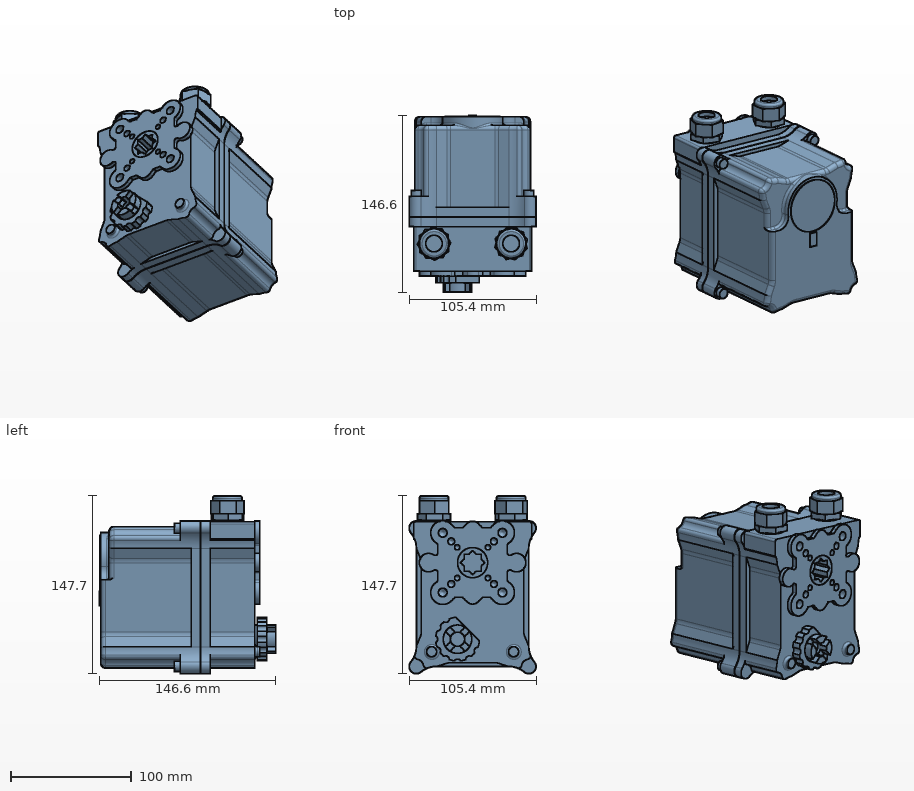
import cadquery as cq
import math


TOLERANCE = 1e-3

KNOB_TIP_Y = -13.3
KNOB_RIM_FRONT_Y = -5.7
MOUNT_FACE_Y = 0.0
KNOB_RIM_BACK_Y = 2.4
BASE_FRONT_Y = 4.1
FLANGE_FRONT_Y = 41.1
PARTING_Y = 49.1
BAND_BACK_Y = 57.1
FLANGE_BACK_Y = 66.1
SCREW_HEAD_BACK_Y = 71.0
SHOULDER_Y = 125.3
LID_BACK_Y = 132.2
WINDOW_BACK_Y = 132.7
POINTER_BACK_Y = 133.3

LUG_X = 46.7
LUG_HALF_Z = 57.4
HOUSING_Z = -28.8
LUG_RADIUS = 6.0
SWEEP_RADIUS = 20.0
GROOVE_LIP_RADIUS = 3.0
SCREW_HEAD_RADIUS = 4.2
SWEEP_LENGTH = math.sqrt((SWEEP_RADIUS + LUG_RADIUS) ** 2 - SWEEP_RADIUS ** 2)

SIDE_RECESS_DEPTH = 4.2
END_RECESS_DEPTH = 3.2
RECESS_SLOPE_LENGTH = 10.2
RECESS_CORNER_RADIUS = 10.0
PARTING_GROOVE_WIDTH = 0.4
PARTING_GROOVE_DEPTH = 0.1
LID_EDGE_RADIUS = 4.0

BASE_TOP_Z = 34.05
BASE_TOP_HALF_X = 49.0
BASE_TOP_LOW_Z = 19.8
BASE_TOP_CHAMFER = 1.1
BASE_TOP_RADIUS = 2.0

DOME_RADIUS = 25.1
DOME_BLEND_RADIUS = 10.0
DOME_FOOT_RADIUS = 2.0
STEP_Z = -14.4
WINDOW_RADIUS = 22.6
POINTER_WIDTH = 6.4
POINTER_LENGTH = 12.0
POINTER_Z = -29.8

PAD_HOLES = ((70.0, 7.2, 14.0), (50.0, 5.6, 12.0), (36.0, 4.4, 10.0))
DRILL_TIP_ANGLE = 118.0
PAD_LOBE = PAD_HOLES[0][0] / 2 * math.sqrt(0.5)
PAD_LOBE_RADIUS = 10.0
PAD_HALF = 28.75
PAD_MID_LOBE_Z = 27.9
PAD_MID_LOBE_RADIUS = 6.5
PAD_SIDE_LOBE_X = 36.5
PAD_SIDE_LOBE_RADIUS = 7.7
PAD_FILLET = 2.25
DRIVE_RADIUS = 12.5
DRIVE_RECESS = 0.2
STAR_SQUARE = 14.2
STAR_DEPTH = 30.0

KNOB_X = -12.5
KNOB_Z = -63.5
KNOB_RIM_RADIUS = 18.2
KNOB_HUB_RADIUS = 11.8
KNOB_BORE_RADIUS = 5.9
KNOB_SLOT_WIDTH = 5.3
KNOB_SLOT_FLOOR_Y = -6.1
KNOB_BORE_FLOOR_Y = -2.7
SCALLOP_PITCH = 30
SCALLOP_FIRST_ANGLE = 120
SCALLOP_LAST_ANGLE = 330
SCALLOP_RADIUS = 3.0
SCALLOP_DEPTH = 1.7
STUD_X = 34.0
STUD_Z = -73.9
STUD_RADIUS = 4.2
STUD_FILLET = 2.0

GLAND_X = 32.0
GLAND_Y = 27.0
GLAND_NECK_RADIUS = 10.2
GLAND_NUT_Z = 35.3
GLAND_CAP_Z = 40.4
GLAND_COLLAR_Z = 51.5
GLAND_TOP_Z = 55.48
GLAND_HEX_FLATS = 24.0
GLAND_COLLAR_RADIUS = 12.2
GLAND_COLLAR_FILLET = 2.1
GLAND_BORE_RADIUS = 6.9
GLAND_BORE_DEPTH = 3.7
GLANDS = ((-GLAND_X, 2.4, 32.4), (GLAND_X, 42.9, 13.3))


def section(y):
    """Work plane across the part at station y; extruding runs toward -Y."""
    return cq.Workplane("XZ", origin=(0, y, 0))


def disc(x, z, radius, y_front, y_back):
    return section(y_back).center(x, z).circle(radius).extrude(y_back - y_front)


def toward(start, end, distance):
    """Point at a distance from start on the line to end."""
    ratio = distance / math.dist(start, end)
    return (start[0] + (end[0] - start[0]) * ratio, start[1] + (end[1] - start[1]) * ratio)


def arc_through(wire, center, radius, end):
    """Continue the wire along the shorter arc about center to end."""
    start = wire._findFromPoint(useLocalCoords=True).toTuple()
    chord_middle = ((start[0] + end[0]) / 2, (start[1] + end[1]) / 2)
    return wire.threePointArc(toward(center, chord_middle, radius), end)


def circle_meeting(first, first_radius, second, second_radius):
    """Crossing of two circles that lies to the left of the line from first to second."""
    gap = math.dist(first, second)
    along = (gap ** 2 + first_radius ** 2 - second_radius ** 2) / (2 * gap)
    across = math.sqrt(first_radius ** 2 - along ** 2)
    direction = ((second[0] - first[0]) / gap, (second[1] - first[1]) / gap)
    return (first[0] + along * direction[0] - across * direction[1],
            first[1] + along * direction[1] + across * direction[0])



def housing_prism(y_front, y_back, with_lugs):
    """Housing outline, with round lugs at the corners or with grooves in their place."""
    lug = (LUG_X, LUG_HALF_Z)
    side_flat_end = (LUG_X, LUG_HALF_Z - SWEEP_LENGTH)
    top_flat_end = (LUG_X - SWEEP_LENGTH, LUG_HALF_Z)
    side_sweep = (LUG_X + SWEEP_RADIUS, side_flat_end[1])
    top_sweep = (top_flat_end[0], LUG_HALF_Z + SWEEP_RADIUS)

    wire = section(y_back).center(0, HOUSING_Z).moveTo(0, 0).lineTo(LUG_X, 0).lineTo(*side_flat_end)
    if with_lugs:
        outer = (LUG_X + LUG_RADIUS * math.sqrt(0.5), LUG_HALF_Z + LUG_RADIUS * math.sqrt(0.5))
        wire = arc_through(wire, side_sweep, SWEEP_RADIUS, toward(lug, side_sweep, LUG_RADIUS))
        wire = wire.threePointArc(outer, toward(lug, top_sweep, LUG_RADIUS))
    else:
        side_lip = circle_meeting(side_sweep, SWEEP_RADIUS + GROOVE_LIP_RADIUS,
                                  lug, LUG_RADIUS + GROOVE_LIP_RADIUS)
        offset = (LUG_X - side_lip[0], LUG_HALF_Z - side_lip[1])
        top_lip = (LUG_X - offset[1], LUG_HALF_Z - offset[0])
        wire = arc_through(wire, side_sweep, SWEEP_RADIUS, toward(side_sweep, side_lip, SWEEP_RADIUS))
        wire = arc_through(wire, side_lip, GROOVE_LIP_RADIUS, toward(lug, side_lip, LUG_RADIUS))
        wire = arc_through(wire, lug, LUG_RADIUS, toward(lug, top_lip, LUG_RADIUS))
        wire = arc_through(wire, top_lip, GROOVE_LIP_RADIUS, toward(top_sweep, top_lip, SWEEP_RADIUS))
    wire = arc_through(wire, top_sweep, SWEEP_RADIUS, top_flat_end)
    quadrant = wire.lineTo(0, LUG_HALF_Z).close().extrude(y_back - y_front)
    half = quadrant.union(quadrant.mirror("YZ"))
    return half.union(half.mirror("XY", (0, 0, HOUSING_Z)))


def recess(wall, half_length, depth, turn, y_front, y_back):
    """Shallow trapezoid cutter in the wall at distance wall from the housing axis."""
    inner_half = half_length - RECESS_SLOPE_LENGTH
    floor = wall - depth
    cutter = (
        section(y_back)
        .polyline([(wall, half_length), (floor, inner_half), (floor, -inner_half), (wall, -half_length)])
        .close()
        .extrude(y_back - y_front)
        .edges("|Y").edges("<X")
        .fillet(RECESS_CORNER_RADIUS)
    )
    return cutter.rotate((0, 0, 0), (0, 1, 0), turn).translate((0, 0, HOUSING_Z))


def cut_recesses(body, y_front, y_back):
    for turn in (0, 180):
        body = body.cut(recess(LUG_X, LUG_HALF_Z - SWEEP_LENGTH, SIDE_RECESS_DEPTH, turn, y_front, y_back))
    for turn in (90, 270):
        body = body.cut(recess(LUG_HALF_Z, LUG_X - SWEEP_LENGTH, END_RECESS_DEPTH, turn, y_front, y_back))
    return body


def recessed_prism(y_front, y_back):
    return cut_recesses(housing_prism(y_front, y_back, with_lugs=False), y_front, y_back)


def make_flange():
    """Band with corner lugs, parted by a fine groove, and the screw heads behind it."""
    front_half = housing_prism(FLANGE_FRONT_Y, PARTING_Y - PARTING_GROOVE_WIDTH / 2, with_lugs=True)
    back_half = housing_prism(PARTING_Y + PARTING_GROOVE_WIDTH / 2, BAND_BACK_Y, with_lugs=True)
    groove_floor = (
        front_half.faces(">Y").wires().toPending()
        .offset2D(-PARTING_GROOVE_DEPTH)
        .extrude(-PARTING_GROOVE_WIDTH, combine=False)
    )
    lug_ends = housing_prism(BAND_BACK_Y, FLANGE_BACK_Y, with_lugs=True)
    lug_ends = cut_recesses(lug_ends, BAND_BACK_Y, FLANGE_BACK_Y)
    flange = front_half.union(groove_floor).union(back_half).union(lug_ends)
    for x in (-LUG_X, LUG_X):
        for z in (HOUSING_Z - LUG_HALF_Z, HOUSING_Z + LUG_HALF_Z):
            flange = flange.union(disc(x, z, SCREW_HEAD_RADIUS, FLANGE_BACK_Y, SCREW_HEAD_BACK_Y))
    return flange


def make_base():
    low_z = BASE_TOP_LOW_Z - BASE_TOP_CHAMFER
    low_x = BASE_TOP_HALF_X - BASE_TOP_CHAMFER
    top = (
        section(FLANGE_FRONT_Y)
        .polyline([
            (-low_x, low_z), (low_x, low_z), (BASE_TOP_HALF_X, BASE_TOP_LOW_Z),
            (BASE_TOP_HALF_X, BASE_TOP_Z), (-BASE_TOP_HALF_X, BASE_TOP_Z), (-BASE_TOP_HALF_X, BASE_TOP_LOW_Z),
        ])
        .close()
        .extrude(FLANGE_FRONT_Y - BASE_FRONT_Y)
        .edges("|Y").edges(">Z")
        .fillet(BASE_TOP_RADIUS)
    )
    return recessed_prism(BASE_FRONT_Y, FLANGE_FRONT_Y).union(top)


def make_dome():
    """Round dome about the drive axis, blended into the step across the lid."""
    blend_x = math.sqrt((DOME_RADIUS + DOME_BLEND_RADIUS) ** 2 - (STEP_Z + DOME_BLEND_RADIUS) ** 2)
    right_blend = (blend_x, STEP_Z + DOME_BLEND_RADIUS)
    left_blend = (-blend_x, STEP_Z + DOME_BLEND_RADIUS)
    wire = section(LID_BACK_Y).moveTo(blend_x, STEP_Z)
    wire = arc_through(wire, right_blend, DOME_BLEND_RADIUS, toward((0, 0), right_blend, DOME_RADIUS))
    wire = wire.threePointArc((0, DOME_RADIUS), toward((0, 0), left_blend, DOME_RADIUS))
    wire = arc_through(wire, left_blend, DOME_BLEND_RADIUS, (-blend_x, STEP_Z))
    wire = wire.lineTo(-blend_x, HOUSING_Z).lineTo(blend_x, HOUSING_Z).close()
    return wire.extrude(LID_BACK_Y - SHOULDER_Y + LID_EDGE_RADIUS)


def is_dome_foot(edge):
    """True for the dome's own arcs on the shoulder; the rest of the foot runs on tangent from them."""
    if edge.geomType() != "CIRCLE":
        return False
    on_shoulder = math.isclose(edge.Center().y, SHOULDER_Y, abs_tol=TOLERANCE)
    return on_shoulder and math.isclose(edge.radius(), DOME_RADIUS, abs_tol=TOLERANCE)


def make_lid():
    shoulder = recessed_prism(BAND_BACK_Y, SHOULDER_Y).faces(">Y").edges().fillet(LID_EDGE_RADIUS)
    full = recessed_prism(BAND_BACK_Y, LID_BACK_Y).faces(">Y").edges().fillet(LID_EDGE_RADIUS)
    below_step = (
        section(LID_BACK_Y)
        .center(0, STEP_Z - LUG_HALF_Z)
        .rect(4 * LUG_X, 2 * LUG_HALF_Z)
        .extrude(LID_BACK_Y - BAND_BACK_Y)
    )
    lid = shoulder.union(full.intersect(below_step)).union(make_dome())
    lid = lid.edges().filter(is_dome_foot).fillet(DOME_FOOT_RADIUS)
    lid = lid.union(disc(0, 0, WINDOW_RADIUS, LID_BACK_Y, WINDOW_BACK_Y))
    pointer = (
        section(POINTER_BACK_Y)
        .center(0, POINTER_Z)
        .rect(POINTER_WIDTH, POINTER_LENGTH)
        .extrude(POINTER_BACK_Y - LID_BACK_Y)
    )
    return lid.union(pointer)



def make_pad():
    lobe = (PAD_LOBE, PAD_LOBE)
    diagonal = math.sqrt(0.5)
    mid_top = PAD_MID_LOBE_Z + PAD_MID_LOBE_RADIUS
    mid_end = (PAD_MID_LOBE_RADIUS * diagonal, PAD_MID_LOBE_Z + PAD_MID_LOBE_RADIUS * diagonal)
    lobe_start = (PAD_LOBE - PAD_LOBE_RADIUS * diagonal, PAD_LOBE + PAD_LOBE_RADIUS * diagonal)
    side_lobe = (PAD_SIDE_LOBE_X, 0)
    fillet_x = PAD_HALF + PAD_FILLET
    upper_reach = math.sqrt((PAD_LOBE_RADIUS + PAD_FILLET) ** 2 - (fillet_x - PAD_LOBE) ** 2)
    upper_fillet = (fillet_x, PAD_LOBE - upper_reach)
    lower_reach = math.sqrt((PAD_SIDE_LOBE_RADIUS + PAD_FILLET) ** 2 - (fillet_x - PAD_SIDE_LOBE_X) ** 2)
    lower_fillet = (fillet_x, lower_reach)
    side_start = toward(side_lobe, lower_fillet, PAD_SIDE_LOBE_RADIUS)

    wire = section(BASE_FRONT_Y).moveTo(0, mid_top)
    wire = arc_through(wire, (0, PAD_MID_LOBE_Z), PAD_MID_LOBE_RADIUS, mid_end)
    wire = wire.lineTo(mid_end[0] + mid_end[1] - PAD_HALF, PAD_HALF)
    wire = wire.lineTo(lobe_start[0] - lobe_start[1] + PAD_HALF, PAD_HALF)
    wire = wire.lineTo(*lobe_start)
    wire = wire.threePointArc((PAD_LOBE + PAD_LOBE_RADIUS * diagonal, PAD_LOBE + PAD_LOBE_RADIUS * diagonal),
                              toward(lobe, upper_fillet, PAD_LOBE_RADIUS))
    wire = arc_through(wire, upper_fillet, PAD_FILLET, (PAD_HALF, upper_fillet[1]))
    wire = wire.lineTo(PAD_HALF, lower_fillet[1])
    wire = wire.threePointArc((fillet_x - PAD_FILLET * diagonal, lower_reach - PAD_FILLET * diagonal),
                              side_start)
    pad = wire.lineTo(*side_lobe).mirrorX().mirrorY().extrude(BASE_FRONT_Y - MOUNT_FACE_Y)
    for x in (-PAD_SIDE_LOBE_X, PAD_SIDE_LOBE_X):
        pad = pad.union(disc(x, 0, PAD_SIDE_LOBE_RADIUS, MOUNT_FACE_Y, BASE_FRONT_Y))
    return pad


def drilled_hole(x, z, diameter, depth):
    """Blind hole from the mounting face, with a drill point."""
    radius = diameter / 2
    tip = radius / math.tan(math.radians(DRILL_TIP_ANGLE / 2))
    profile = cq.Workplane("XY").polyline([(0, 0), (radius, 0), (radius, depth), (0, depth + tip)]).close()
    return profile.revolve(360, (0, 0, 0), (0, 1, 0)).translate((x, MOUNT_FACE_Y, z))


def cut_pad_features(body):
    for pitch, diameter, depth in PAD_HOLES:
        offset = pitch / 2 * math.sqrt(0.5)
        for x in (-offset, offset):
            for z in (-offset, offset):
                body = body.cut(drilled_hole(x, z, diameter, depth))
    body = body.cut(disc(0, 0, DRIVE_RADIUS, MOUNT_FACE_Y, MOUNT_FACE_Y + DRIVE_RECESS))
    square = section(STAR_DEPTH).rect(STAR_SQUARE, STAR_SQUARE).extrude(STAR_DEPTH - MOUNT_FACE_Y)
    return body.cut(square).cut(square.rotate((0, 0, 0), (0, 1, 0), 45))



def make_knob():
    """Scalloped rim with one flat, on a hub whose tip has a bore and crossed slots."""
    rim = disc(0, 0, KNOB_RIM_RADIUS, KNOB_RIM_FRONT_Y, KNOB_RIM_BACK_Y)
    scallop_center = KNOB_RIM_RADIUS - SCALLOP_DEPTH + SCALLOP_RADIUS
    for degrees in range(SCALLOP_FIRST_ANGLE, SCALLOP_LAST_ANGLE + 1, SCALLOP_PITCH):
        angle = math.radians(degrees)
        x = scallop_center * math.cos(angle)
        z = scallop_center * math.sin(angle)
        rim = rim.cut(disc(x, z, SCALLOP_RADIUS, KNOB_RIM_FRONT_Y, KNOB_RIM_BACK_Y))
    flat = (
        section(KNOB_RIM_BACK_Y)
        .center(KNOB_HUB_RADIUS + KNOB_RIM_RADIUS, 0)
        .rect(2 * KNOB_RIM_RADIUS, 2 * KNOB_RIM_RADIUS)
        .extrude(KNOB_RIM_BACK_Y - KNOB_RIM_FRONT_Y)
        .rotate((0, 0, 0), (0, 1, 0), -45)
    )
    rim = rim.cut(flat)
    tip = disc(0, 0, KNOB_HUB_RADIUS, KNOB_TIP_Y, KNOB_RIM_FRONT_Y)
    slot = (
        section(KNOB_SLOT_FLOOR_Y)
        .rect(KNOB_SLOT_WIDTH, 2 * KNOB_RIM_RADIUS)
        .extrude(KNOB_SLOT_FLOOR_Y - KNOB_TIP_Y)
    )
    for turn in (45, 135):
        tip = tip.cut(slot.rotate((0, 0, 0), (0, 1, 0), turn))
    stem = disc(0, 0, KNOB_HUB_RADIUS, KNOB_RIM_BACK_Y, BASE_FRONT_Y)
    bore = disc(0, 0, KNOB_BORE_RADIUS, KNOB_TIP_Y, KNOB_BORE_FLOOR_Y)
    return rim.union(tip).union(stem).cut(bore).translate((KNOB_X, 0, KNOB_Z))


def make_stud(x):
    """Round stud with a concave fillet at its foot, turned about Y."""
    wide = STUD_RADIUS + STUD_FILLET
    fillet_top = BASE_FRONT_Y - STUD_FILLET
    wire = cq.Workplane("XY").moveTo(0, MOUNT_FACE_Y).lineTo(STUD_RADIUS, MOUNT_FACE_Y)
    wire = wire.lineTo(STUD_RADIUS, fillet_top)
    wire = arc_through(wire, (wide, fillet_top), STUD_FILLET, (wide, BASE_FRONT_Y))
    stud = wire.lineTo(0, BASE_FRONT_Y).close().revolve(360, (0, 0, 0), (0, 1, 0))
    return stud.translate((x, 0, STUD_Z))


def hex_nut(bottom_z, top_z, turn):
    across_corners = GLAND_HEX_FLATS / math.cos(math.radians(30))
    nut = cq.Workplane("XY").workplane(offset=bottom_z).polygon(6, across_corners).extrude(top_z - bottom_z)
    return nut.rotate((0, 0, 0), (0, 0, 1), turn)


def make_gland(x, nut_turn, cap_turn):
    gland = (
        cq.Workplane("XY")
        .workplane(offset=BASE_TOP_Z)
        .circle(GLAND_NECK_RADIUS)
        .extrude(GLAND_NUT_Z - BASE_TOP_Z)
        .union(hex_nut(GLAND_NUT_Z, GLAND_CAP_Z, nut_turn))
        .union(hex_nut(GLAND_CAP_Z, GLAND_COLLAR_Z, cap_turn))
    )
    collar = (
        cq.Workplane("XY")
        .workplane(offset=GLAND_COLLAR_Z)
        .circle(GLAND_COLLAR_RADIUS)
        .extrude(GLAND_TOP_Z - GLAND_COLLAR_Z)
        .faces(">Z").edges()
        .fillet(GLAND_COLLAR_FILLET)
    )
    gland = gland.union(collar)
    gland = gland.faces(">Z").workplane().circle(GLAND_BORE_RADIUS).cutBlind(-GLAND_BORE_DEPTH)
    return gland.translate((x, GLAND_Y, 0))



result = make_base().union(make_flange()).union(make_lid()).union(make_pad())
result = cut_pad_features(result)
result = result.union(make_knob())
for stud_x in (-STUD_X, STUD_X):
    result = result.union(make_stud(stud_x))
for gland_x, nut_angle, cap_angle in GLANDS:
    result = result.union(make_gland(gland_x, nut_angle, cap_angle))